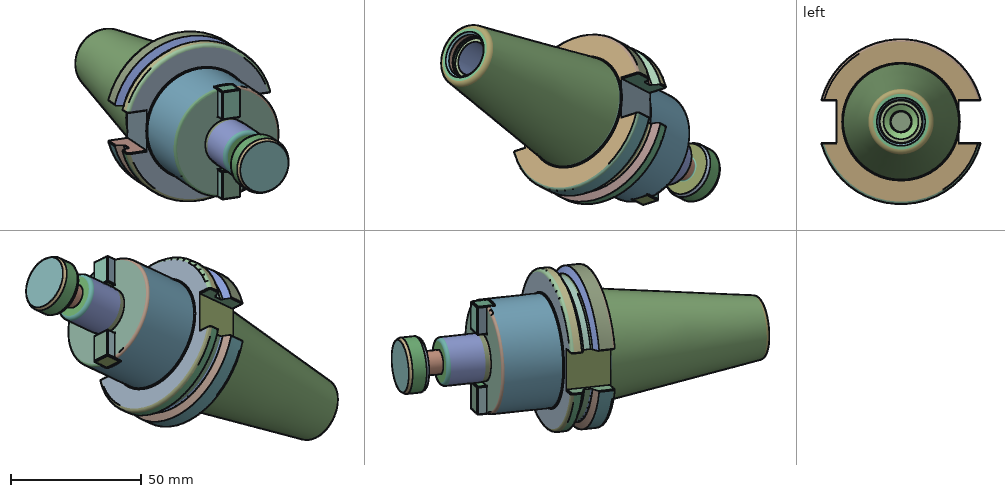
import cadquery as cq
import math

TOTAL_LENGTH = 146.2

TAPER_DIAMETER = 44.5
TAPER_RATIO = 7 / 24
TAPER_END = 67.9
SHANK_FILLET = 1.9
COLLAR_END = 68.7
COLLAR_FLARE = 0.5

FLANGE_DIAMETER = 63.5
FLANGE_START = 69.2
FLANGE_END = 87.3
FLANGE_REAR_FILLET = 1.0
FLANGE_FRONT_FILLET = 1.3
GROOVE_DIAMETER = 56.3
GROOVE_CENTER = 79.4
GROOVE_RIM_WIDTH = 7.0
GROOVE_FLOOR_WIDTH = 3.7
GROOVE_WALL_ANGLE = 60
GROOVE_FILLET = 0.6

DRIVE_SLOT_WIDTH = 16.1
DRIVE_SLOT_CHAMFER = 0.5
DRIVE_SLOT_FLOOR_FRONT = 22.2
DRIVE_SLOT_FLOOR_BACK = 24.9

BODY_DIAMETER = 44.5
BODY_END = 112.5
BODY_FILLET = 1.0
BODY_ROOT_FLARE = 0.5
PILOT_DIAMETER = 19.0
PILOT_END = 130.3
PILOT_FILLET = 1.5
UNDERCUT_DIAMETER = 18.6
UNDERCUT_FLAT_END = 113.0
UNDERCUT_END = 114.8

MOUTH_DIAMETER = 18.6
COUNTERBORE_DIAMETER = 16.8
SEAT_DIAMETER = 16.2
SEAT_START = 3.0
COUNTERBORE_DEPTH = 4.5
BORE_DIAMETER = 13.5
BORE_DEPTH = 43.0
BORE_CONE_ANGLE = 59

SCREW_DIAMETER = 9.5
SCREW_TIP_DIAMETER = 8.3
SCREW_TIP_LENGTH = 2.9
SCREW_TIP_CHAMFER = 0.3
HEAD_DIAMETER = 22.0
HEAD_THICKNESS = 8.3
HEAD_CHAMFER_LENGTH = 1.3
HEAD_CHAMFER_ANGLE = 30
HEAD_ROOT_FILLET = 0.5

KEY_WIDTH = 7.9
KEY_START = 109.0
KEY_END = 116.3
KEY_INNER = 10.4
KEY_OUTER = 22.0
KEY_CHAMFER = 0.5

TOLERANCE = 0.001

taper_radius = TAPER_DIAMETER / 2
shank_end_radius = taper_radius - TAPER_END * TAPER_RATIO / 2
flange_radius = FLANGE_DIAMETER / 2
groove_radius = GROOVE_DIAMETER / 2
groove_slope_run = (GROOVE_RIM_WIDTH - GROOVE_FLOOR_WIDTH) / 2
groove_slope_end_radius = flange_radius - groove_slope_run * math.tan(math.radians(GROOVE_WALL_ANGLE))
mouth_chamfer = (MOUTH_DIAMETER - COUNTERBORE_DIAMETER) / 2
seat_chamfer = (COUNTERBORE_DIAMETER - SEAT_DIAMETER) / 2
bore_cone_length = (BORE_DIAMETER - SCREW_TIP_DIAMETER) / 2 / math.tan(math.radians(BORE_CONE_ANGLE))
screw_start = BORE_DEPTH + bore_cone_length
screw_tip_end = screw_start + SCREW_TIP_LENGTH
head_start = TOTAL_LENGTH - HEAD_THICKNESS


def revolve_about_x(points):
    """Revolve a closed (x, radius) outline about the X axis."""
    return cq.Workplane("XY").polyline(points).close().revolve(360, (0, 0, 0), (1, 0, 0))


def circle_edges(solid, x, diameter):
    """Select the full-circle edges of the given diameter centred on the X axis at x."""
    def matches(edge):
        return (edge.geomType() == "CIRCLE"
                and abs(edge.radius() - diameter / 2) < TOLERANCE
                and abs(edge.arcCenter().x - x) < TOLERANCE)
    return solid.newObject([edge for edge in solid.edges().vals() if matches(edge)])


def shank():
    """Taper with a rounded small end and a collar that flares into the flange."""
    blank = revolve_about_x([
        (0, 0),
        (0, shank_end_radius),
        (TAPER_END, taper_radius),
        (COLLAR_END, taper_radius),
        (FLANGE_START, taper_radius + COLLAR_FLARE),
        (FLANGE_START, 0),
    ])
    return circle_edges(blank, 0, 2 * shank_end_radius).fillet(SHANK_FILLET)


def flange():
    """Flange ring with its V groove and two chamfered driving slots of unequal depth."""
    rim_half = GROOVE_RIM_WIDTH / 2
    floor_half = GROOVE_FLOOR_WIDTH / 2
    ring = revolve_about_x([
        (FLANGE_START, 0),
        (FLANGE_START, flange_radius),
        (GROOVE_CENTER - rim_half, flange_radius),
        (GROOVE_CENTER - floor_half, groove_slope_end_radius),
        (GROOVE_CENTER - floor_half, groove_radius),
        (GROOVE_CENTER + floor_half, groove_radius),
        (GROOVE_CENTER + floor_half, groove_slope_end_radius),
        (GROOVE_CENTER + rim_half, flange_radius),
        (FLANGE_END, flange_radius),
        (FLANGE_END, 0),
    ])
    ring = circle_edges(ring, FLANGE_START, FLANGE_DIAMETER).fillet(FLANGE_REAR_FILLET)
    ring = circle_edges(ring, FLANGE_END, FLANGE_DIAMETER).fillet(FLANGE_FRONT_FILLET)
    for side in (-1, 1):
        ring = circle_edges(ring, GROOVE_CENTER + side * floor_half, GROOVE_DIAMETER).fillet(GROOVE_FILLET)
    ring = ring.cut(drive_slot(-1, DRIVE_SLOT_FLOOR_FRONT)).cut(drive_slot(1, DRIVE_SLOT_FLOOR_BACK))
    return slot_wall_edges(ring).chamfer(DRIVE_SLOT_CHAMFER)


def drive_slot(side, floor):
    """Cutter for one driving slot, open outward in the Y direction given by side."""
    depth = flange_radius
    return (cq.Workplane("XY")
            .box(FLANGE_END - FLANGE_START, depth, DRIVE_SLOT_WIDTH, centered=(False, True, True))
            .translate((FLANGE_START, side * (floor + depth / 2), 0)))


def slot_wall_edges(ring):
    """Select the edges where the slot walls meet the end faces, the rim and its fillets."""
    def matches(edge):
        middle = edge.positionAt(0.5)
        on_wall = all(abs(abs(point.z) - DRIVE_SLOT_WIDTH / 2) < TOLERANCE
                      for point in (edge.startPoint(), middle, edge.endPoint()))
        in_groove = abs(middle.x - GROOVE_CENTER) < GROOVE_RIM_WIDTH / 2
        on_floor = any(abs(middle.y - floor_y) < TOLERANCE
                       for floor_y in (-DRIVE_SLOT_FLOOR_FRONT, DRIVE_SLOT_FLOOR_BACK))
        return on_wall and not in_groove and not on_floor
    return ring.newObject([edge for edge in ring.edges().vals() if matches(edge)])


def front_body():
    """Body cylinder with a flared root and a rounded front rim."""
    radius = BODY_DIAMETER / 2
    body = revolve_about_x([
        (FLANGE_END, 0),
        (FLANGE_END, radius + BODY_ROOT_FLARE),
        (FLANGE_END + BODY_ROOT_FLARE, radius),
        (BODY_END, radius),
        (BODY_END, 0),
    ])
    return circle_edges(body, BODY_END, BODY_DIAMETER).fillet(BODY_FILLET)


def pilot():
    """Pilot cylinder with a shallow undercut next to the body."""
    undercut_radius = UNDERCUT_DIAMETER / 2
    pilot_radius = PILOT_DIAMETER / 2
    blank = revolve_about_x([
        (BODY_END, 0),
        (BODY_END, undercut_radius),
        (UNDERCUT_FLAT_END, undercut_radius),
        (UNDERCUT_END, pilot_radius),
        (PILOT_END, pilot_radius),
        (PILOT_END, 0),
    ])
    return circle_edges(blank, PILOT_END, PILOT_DIAMETER).fillet(PILOT_FILLET)


def through_bore():
    """Cutter for the stepped draw-bar bore and the screw hole that runs on from it."""
    counterbore_radius = COUNTERBORE_DIAMETER / 2
    seat_radius = SEAT_DIAMETER / 2
    bore_radius = BORE_DIAMETER / 2
    tip_radius = SCREW_TIP_DIAMETER / 2
    screw_radius = SCREW_DIAMETER / 2
    return revolve_about_x([
        (0, 0),
        (0, MOUTH_DIAMETER / 2),
        (mouth_chamfer, counterbore_radius),
        (SEAT_START, counterbore_radius),
        (SEAT_START + seat_chamfer, seat_radius),
        (COUNTERBORE_DEPTH, seat_radius),
        (COUNTERBORE_DEPTH, bore_radius),
        (BORE_DEPTH, bore_radius),
        (screw_start, tip_radius),
        (screw_tip_end, tip_radius),
        (screw_tip_end, screw_radius),
        (PILOT_END, screw_radius),
        (PILOT_END, 0),
    ])


def key_block(side, end, outer):
    """Plain block in the place of one key, on the Z side given by side, up to end in X and outer in Z."""
    height = outer - KEY_INNER
    return (cq.Workplane("XY")
            .box(end - KEY_START, KEY_WIDTH, height, centered=(False, True, True))
            .translate((KEY_START, 0, side * (KEY_INNER + height / 2))))


def make_housing():
    """Shank, flange, body and pilot in one piece, bored through and with two key seats."""
    solid = shank().union(flange()).union(front_body()).union(pilot())
    solid = solid.cut(through_bore())
    for side in (-1, 1):
        solid = solid.cut(key_block(side, BODY_END, BODY_DIAMETER / 2))
    return solid


def make_screw():
    """Screw with a reduced tip and a chamfered cylindrical head."""
    tip_radius = SCREW_TIP_DIAMETER / 2
    screw_radius = SCREW_DIAMETER / 2
    head_radius = HEAD_DIAMETER / 2
    head_face_radius = head_radius - HEAD_CHAMFER_LENGTH * math.tan(math.radians(HEAD_CHAMFER_ANGLE))
    screw = revolve_about_x([
        (screw_start, 0),
        (screw_start, tip_radius),
        (screw_tip_end, tip_radius),
        (screw_tip_end, screw_radius),
        (head_start, screw_radius),
        (head_start, head_face_radius),
        (head_start + HEAD_CHAMFER_LENGTH, head_radius),
        (TOTAL_LENGTH - HEAD_CHAMFER_LENGTH, head_radius),
        (TOTAL_LENGTH, head_face_radius),
        (TOTAL_LENGTH, 0),
    ])
    screw = circle_edges(screw, head_start, SCREW_DIAMETER).fillet(HEAD_ROOT_FILLET)
    return circle_edges(screw, screw_start, SCREW_TIP_DIAMETER).chamfer(SCREW_TIP_CHAMFER)


def make_key(side):
    """One driving key, chamfered on every edge."""
    return key_block(side, KEY_END, KEY_OUTER).edges().chamfer(KEY_CHAMFER)


housing = make_housing()
screw = make_screw()
keys = [make_key(side) for side in (-1, 1)]

result = cq.Compound.makeCompound([
    housing.solids().val(),
    screw.solids().val(),
    *[key.solids().val() for key in keys],
])